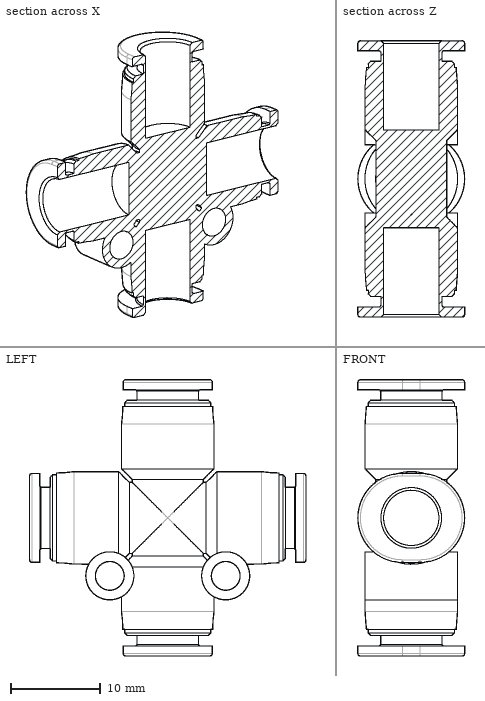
import cadquery as cq

port_reach = 15.5
hub_radius = 4.0

body_radius = 5.2
shoulder_end = 5.5
shoulder_chamfer = body_radius - hub_radius
taper_start = 10.5
taper_end = 12.5
taper_drop = 0.15
body_end = 13.2
rim_radius = 4.85
rim_chamfer = 0.3

neck_radius = 3.45
neck_flare = 0.15
flange_length = 12.0
flange_width = 10.0
flange_thickness = 1.15
flange_edge = 0.3
bore_radius = 3.1
bore_depth = 10.0
mouth_chamfer = 0.3

lug_offset = 6.5
lug_radius = 2.7
lug_hole_radius = 1.6
lug_length = 2 * body_radius


def make_body():
    """Revolved port body along +Z: hub arm, shoulder cone, barrel, taper, rim and flared collar neck."""
    flange_underside = port_reach - flange_thickness
    profile = (
        cq.Workplane("XZ")
        .lineTo(hub_radius, 0)
        .lineTo(hub_radius, shoulder_end - shoulder_chamfer)
        .lineTo(body_radius, shoulder_end)
        .lineTo(body_radius, taper_start)
        .lineTo(body_radius - taper_drop, taper_end)
        .lineTo(rim_radius, taper_end)
        .lineTo(rim_radius, body_end - rim_chamfer)
        .lineTo(rim_radius - rim_chamfer, body_end)
        .lineTo(neck_radius, body_end)
        .lineTo(neck_radius, flange_underside - neck_flare)
        .lineTo(neck_radius + neck_flare, flange_underside)
        .lineTo(0, flange_underside)
        .close()
    )
    return profile.revolve(360, (0, 0), (0, 1))


def make_flange():
    """Obround collar flange, long along X, with a rounded outer edge."""
    return (
        cq.Workplane("XY", origin=(0, 0, port_reach - flange_thickness))
        .slot2D(flange_length, flange_width)
        .extrude(flange_thickness)
        .faces(">Z")
        .edges()
        .fillet(flange_edge)
    )


def make_bore():
    """Blind tube bore with a chamfered mouth, as a cutting tool."""
    return (
        cq.Workplane("XZ", origin=(0, 0, port_reach))
        .lineTo(bore_radius + mouth_chamfer, 0)
        .lineTo(bore_radius, -mouth_chamfer)
        .lineTo(bore_radius, -bore_depth)
        .lineTo(0, -bore_depth)
        .close()
        .revolve(360, (0, 0), (0, 1))
    )


def lug_cylinders(radius):
    """A pair of cylinders on the lug axes, centred on X = 0."""
    return (
        cq.Workplane("YZ", origin=(-lug_length / 2, 0, 0))
        .pushPoints([(-lug_offset, -lug_offset), (lug_offset, -lug_offset)])
        .circle(radius)
        .extrude(lug_length)
    )


def around_cross(shape):
    """Four copies of a +Z shape, turned about X onto the four arms."""
    return [shape.rotate((0, 0, 0), (1, 0, 0), angle) for angle in (0, 90, 180, 270)]


result = lug_cylinders(lug_radius)
for port in around_cross(make_body().union(make_flange())):
    result = result.union(port)
for bore in around_cross(make_bore()):
    result = result.cut(bore)
result = result.cut(lug_cylinders(lug_hole_radius))